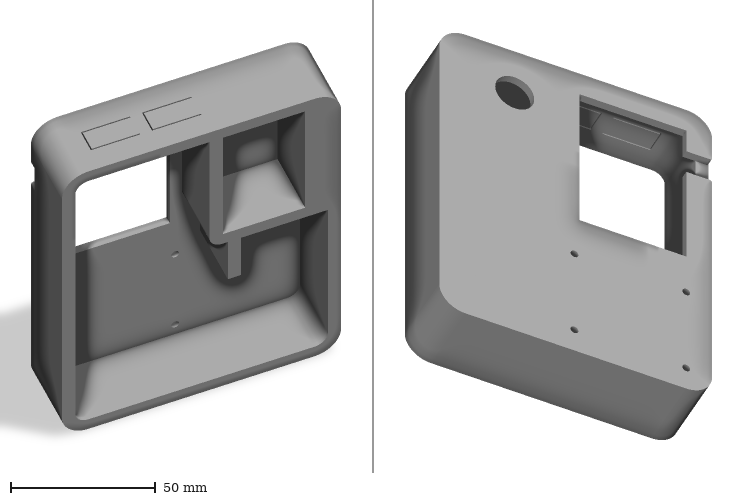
import cadquery as cq

DEPTH = 27.35
WIDTH = 105.0
HEIGHT = 135.0
CORNER_RADIUS = 10.0
PLATE = 3.0
WALL = 5.0

LEFT = -WIDTH / 2
RIGHT = WIDTH / 2
BOTTOM = -HEIGHT / 2
TOP = HEIGHT / 2

WINDOW_MARGIN = 10.0
WINDOW_WIDTH = 41.0
WINDOW_HEIGHT = 61.0

KNOB_DIAMETER = 15.0
KNOB_SIDE_DISTANCE = 29.0
KNOB_TOP_DISTANCE = 20.0
KNOB_Y = RIGHT - KNOB_SIDE_DISTANCE
KNOB_Z = TOP - KNOB_TOP_DISTANCE

MOUNT_DIAMETER = 3.0
MOUNT_MARGIN = 10.0
MOUNT_SPACING_Y = 43.0
MOUNT_SPACING_Z = 36.8

NOTCH_DEPTH = 3.0
NOTCH_HEIGHT = 10.0
NOTCH_TOP_DISTANCE = 20.0
NOTCH_Z = TOP - NOTCH_TOP_DISTANCE - NOTCH_HEIGHT / 2
NOTCH_RADIUS = 1.0

SLIT = 0.5
TONGUE_WIDTH = 9.0
TONGUE_LENGTH = 18.5
TONGUE_X = 14.2
TONGUE_COUNT = 2
TONGUE_SIDE_DISTANCE = 14.6
TONGUE_START_Y = LEFT + TONGUE_SIDE_DISTANCE
TONGUE_PITCH = 23.0

COMPARTMENT_Y = 3.0
COMPARTMENT_BOTTOM = 7.0
COMPARTMENT_RADIUS = 5.0

PARTITION_Y = 9.9
PARTITION_BOTTOM = -12.5


def box(x0, x1, y0, y1, z0, z1):
    """Box between two opposite corners."""
    return cq.Workplane("XY").box(x1 - x0, y1 - y0, z1 - z0, centered=False).translate((x0, y0, z0))


def plate_hole(diameter, y, z):
    """Cylinder along X that pierces the front plate."""
    return cq.Workplane("YZ").center(y, z).circle(diameter / 2).extrude(PLATE)


def outer_block():
    """Rounded outer envelope of the case."""
    return box(0, DEPTH, LEFT, RIGHT, BOTTOM, TOP).edges("|X").fillet(CORNER_RADIUS)


def tray():
    """Front plate with a wall all round it."""
    cavity = box(PLATE, DEPTH, LEFT + WALL, RIGHT - WALL, BOTTOM + WALL, TOP - WALL)
    return outer_block().cut(cavity.edges("|X").fillet(CORNER_RADIUS - WALL))


def compartment():
    """Thick-walled compartment with a pocket centred on the round opening."""
    body = box(0, DEPTH, COMPARTMENT_Y, RIGHT, COMPARTMENT_BOTTOM, TOP)
    body = body.edges("|X and <Y and <Z").fillet(COMPARTMENT_RADIUS)
    pocket_start = COMPARTMENT_Y + WALL
    pocket_end = 2 * KNOB_Y - pocket_start
    pocket = box(PLATE, DEPTH, pocket_start, pocket_end, COMPARTMENT_BOTTOM + WALL, TOP - WALL)
    return body.intersect(outer_block()).cut(pocket)


def partition():
    """Wall that hangs from the underside of the compartment."""
    return box(0, DEPTH, PARTITION_Y, PARTITION_Y + WALL, PARTITION_BOTTOM, COMPARTMENT_BOTTOM)


def window():
    """Rectangular display opening through the front plate."""
    y0 = LEFT + WINDOW_MARGIN
    z1 = TOP - WINDOW_MARGIN
    return box(0, PLATE, y0, y0 + WINDOW_WIDTH, z1 - WINDOW_HEIGHT, z1)


def mounting_holes():
    """Four board holes in a rectangle near the bottom -Y corner."""
    holes = cq.Workplane("YZ")
    for y in (0, MOUNT_SPACING_Y):
        for z in (0, MOUNT_SPACING_Z):
            holes = holes.add(plate_hole(MOUNT_DIAMETER, LEFT + MOUNT_MARGIN + y, BOTTOM + MOUNT_MARGIN + z))
    return holes.combine()


def notch():
    """Channel from the window out through the -Y side, with its mouth rounded outwards."""
    half = NOTCH_HEIGHT / 2
    inner = LEFT + WINDOW_MARGIN
    flare_start = LEFT + NOTCH_RADIUS
    flare = half + NOTCH_RADIUS
    profile = (
        cq.Workplane("YZ")
        .moveTo(inner, NOTCH_Z - half)
        .lineTo(inner, NOTCH_Z + half)
        .lineTo(flare_start, NOTCH_Z + half)
        .radiusArc((LEFT, NOTCH_Z + flare), NOTCH_RADIUS)
        .lineTo(LEFT, NOTCH_Z - flare)
        .radiusArc((flare_start, NOTCH_Z - half), NOTCH_RADIUS)
        .close()
    )
    return profile.extrude(NOTCH_DEPTH)


def tongue_slit(start_y):
    """U-shaped slit through the top wall, closed at its -Y end."""
    x0 = TONGUE_X - TONGUE_WIDTH / 2
    x1 = TONGUE_X + TONGUE_WIDTH / 2
    end_y = start_y + TONGUE_LENGTH
    outline = box(x0, x1, start_y, end_y, TOP - WALL, TOP)
    tongue = box(x0 + SLIT, x1 - SLIT, start_y + SLIT, end_y, TOP - WALL, TOP)
    return outline.cut(tongue)


result = tray().union(compartment()).union(partition())
result = result.cut(window()).cut(mounting_holes()).cut(notch())
result = result.cut(plate_hole(KNOB_DIAMETER, KNOB_Y, KNOB_Z))
for index in range(TONGUE_COUNT):
    result = result.cut(tongue_slit(TONGUE_START_Y + index * TONGUE_PITCH))